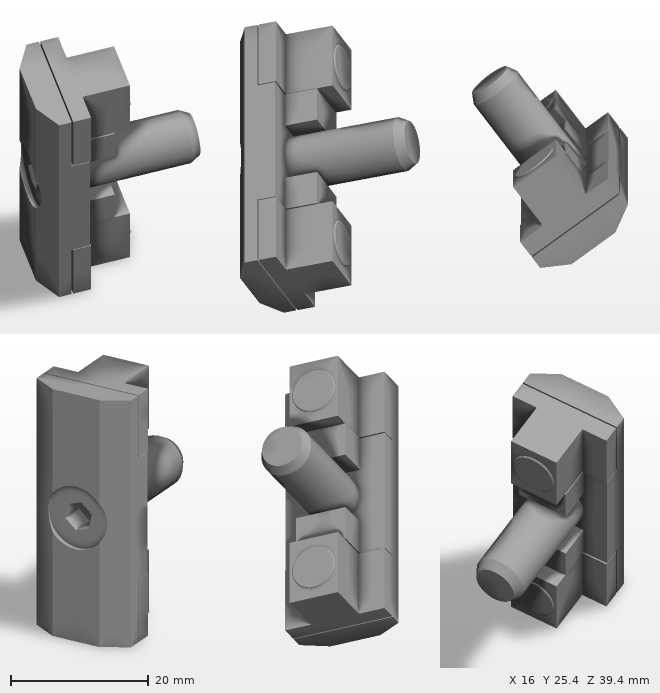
import cadquery as cq

plate_length = 39.4
plate_width = 16.0
front_flat_width = plate_width / 2
bevel_depth = 2.3
plate_end_depth = 4.2
plate_middle_depth = 7.0

block_height = 10.0
block_depth = 9.95
block_flange_depth = 2.7
block_stem_width = 7.75
gap_in_front_of_block = 0.25
gap_beside_block = 0.1
block_front = plate_end_depth + gap_in_front_of_block
block_flange_back = block_front + block_flange_depth
block_back = block_front + block_depth
block_center_z = (plate_length - block_height) / 2

set_screw_diameter = 6.85
set_screw_overhang = 0.25
set_screw_back = block_back + set_screw_overhang
set_screw_chamfer = 0.15

middle_length = plate_length - 2 * (block_height + gap_beside_block)
tab_width = front_flat_width
tab_depth = 5.05
tab_back = plate_middle_depth + tab_depth
tab_spacing = 8.75

screw_diameter = 8.0
screw_back = 25.4
screw_tip_diameter = 6.4
screw_tip_length = 1.5
head_diameter = 10.0
head_recess = 0.75
socket_corner_diameter = 4.73
socket_depth = 3.95
socket_angle = 19.0


def box_between(width, front, back, bottom, top):
    """Box centred on X, spanning the given Y and Z ranges."""
    box = cq.Workplane("XY").box(width, back - front, top - bottom, centered=(True, False, False))
    return box.translate((0, front, bottom))


def rod(diameter, front, back, center_z=0):
    """Round bar along Y."""
    plane = cq.Plane(origin=(0, front, center_z), xDir=(1, 0, 0), normal=(0, 1, 0))
    return cq.Workplane(plane).circle(diameter / 2).extrude(back - front)


def make_plate():
    """Bevelled plate with a thicker middle and two guide tabs."""
    half_width = plate_width / 2
    half_flat = front_flat_width / 2
    plate = (
        cq.Workplane("XY")
        .polyline(
            [
                (-half_flat, 0),
                (half_flat, 0),
                (half_width, bevel_depth),
                (half_width, plate_end_depth),
                (-half_width, plate_end_depth),
                (-half_width, bevel_depth),
            ]
        )
        .close()
        .extrude(plate_length / 2, both=True)
    )
    half_middle = middle_length / 2
    middle = box_between(plate_width, plate_end_depth, plate_middle_depth, -half_middle, half_middle)
    tabs = box_between(tab_width, plate_middle_depth, tab_back, -half_middle, half_middle)
    tab_gap = box_between(tab_width, plate_middle_depth, tab_back, -tab_spacing / 2, tab_spacing / 2)
    return plate.union(middle).union(tabs.cut(tab_gap))


def make_clamp_block(center_z):
    """T-shaped block with the set screw that ties it to the plate."""
    bottom = center_z - block_height / 2
    top = center_z + block_height / 2
    flange = box_between(plate_width, block_front, block_flange_back, bottom, top)
    stem = box_between(block_stem_width, block_flange_back, block_back, bottom, top)
    set_screw = rod(set_screw_diameter, plate_end_depth, set_screw_back, center_z)
    set_screw = set_screw.faces(">Y").chamfer(set_screw_chamfer)
    return flange.union(stem).union(set_screw)


def make_screw_shank():
    """Main screw behind the plate, with a tapered tip."""
    tip_inset = (screw_diameter - screw_tip_diameter) / 2
    shank = rod(screw_diameter, plate_middle_depth, screw_back)
    return shank.faces(">Y").edges().chamfer(screw_tip_length, tip_inset)


def make_head_recess():
    """Round recess down to the head face, with the hexagon socket below it."""
    recess = rod(head_diameter, 0, head_recess)
    socket = (
        cq.Workplane("XZ", origin=(0, head_recess, 0))
        .polygon(6, socket_corner_diameter)
        .extrude(-socket_depth)
        .rotate((0, 0, 0), (0, 1, 0), -socket_angle)
    )
    return recess.union(socket)


result = make_plate().union(make_screw_shank())
for side in (-1, 1):
    result = result.union(make_clamp_block(side * block_center_z))
result = result.cut(make_head_recess())